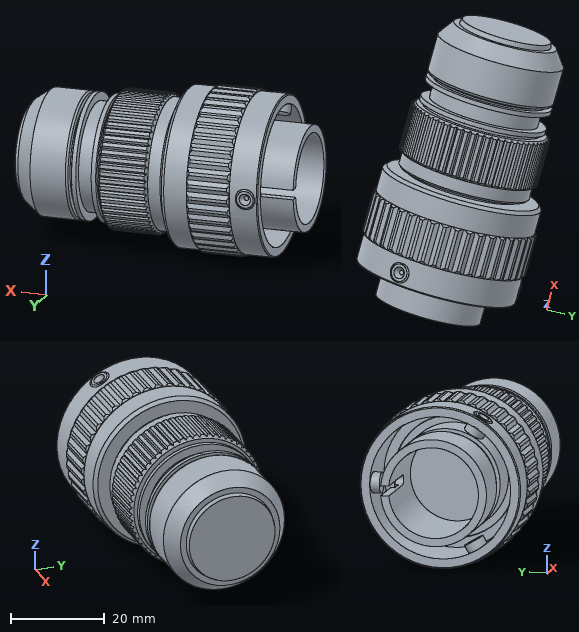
import cadquery as cq
import math


length = 63.0

plug_radius = 11.65
plug_bore_radius = 9.9
plug_groove_start = 9.45
plug_groove_end = 12.6
plug_groove_radius = 10.8
key_slot_width = 2.15
key_slot_length = 13.85

nut_start = 6.1
nut_end = 27.9
nut_radius = 17.65
nut_bore_radius = 15.5
nut_floor = 19.3
nut_recess_radius = 13.35
nut_recess_floor = 20.15
nut_front_chamfer = 0.25
nut_rear_chamfer = 0.75

nut_knurl_start = 12.4
nut_knurl_end = 22.05
nut_knurl_tip = 18.1
nut_knurl_root = 17.6
nut_knurl_crest = 0.7
nut_knurl_teeth = 42
nut_knurl_phase = 2.8
nut_knurl_chamfer_length = 0.5
nut_knurl_chamfer_depth = 0.4

pin_count = 3
pin_x = 8.9
pin_radius = 2.25
pin_tip_radius = 1.9
pin_inner_reach = 13.5
pin_outer_reach = 17.75
pin_chamfer_height = 0.2
pin_hole_radius = 1.25
pin_hole_floor_radius = 0.5
pin_hole_depth = 1.15

neck_radius = 12.6
front_flange_start = 28.55
front_flange_radius = 14.5
front_flange_chamfer = 0.45

rear_knurl_start = 31.75
rear_knurl_end = 42.85
rear_knurl_tip = 15.3
rear_knurl_root = 14.85
rear_knurl_crest = 0.8
rear_knurl_teeth = 60
rear_knurl_phase = 0.0
rear_knurl_chamfer_length = 0.55
rear_knurl_chamfer_depth = 0.75

shoulder_radius = 13.05
ring_radius = 14.0
front_ring_start = 43.6
front_ring_end = 44.6
groove_radius = 12.05
rear_ring_start = 48.1
rear_ring_end = 49.1
cap_neck_radius = 12.5
cap_neck_end = 49.45
cap_relief_radius = 12.3

cap_start = 49.9
cap_chamfer_length = 0.5
cap_chamfer_depth = 0.25
cap_cone_start = 58.35
cap_cone_end = 61.85
cap_cone_end_radius = 11.45
outlet_radius = 10.15
outlet_end_radius = 9.9


def revolve_profile(points):
    """Solid of revolution about X from (x, radius) points; closed along the axis."""
    return cq.Workplane("XY").polyline(points).close().revolve(360, (0, 0, 0), (1, 0, 0))


def cylinder(start, end, radius):
    """Cylinder on the connector axis."""
    return cq.Workplane("YZ").workplane(offset=start).circle(radius).extrude(end - start)


def knurl(start, end, tip, root, crest, teeth, phase, chamfer_length, chamfer_depth):
    """Band of straight trapezoidal teeth meeting in V grooves, chamfered at both ends.

    The phase is the angle in degrees of the first tooth, from -Y towards +Z.
    """
    pitch = 2 * math.pi / teeth
    half_crest = math.asin(crest / 2 / tip)
    outline = []
    for tooth in range(teeth):
        centre = math.radians(phase) + tooth * pitch
        for radius, angle in (
            (root, centre - pitch / 2),
            (tip, centre - half_crest),
            (tip, centre + half_crest),
        ):
            outline.append((-radius * math.cos(angle), radius * math.sin(angle)))
    band = cq.Workplane("YZ").workplane(offset=start).polyline(outline).close().extrude(end - start)
    envelope = revolve_profile([
        (start, 0),
        (start, tip - chamfer_depth),
        (start + chamfer_length, tip),
        (end - chamfer_length, tip),
        (end, tip - chamfer_depth),
        (end, 0),
    ])
    return band.intersect(envelope)


def coupling_nut():
    """Solid nut barrel with chamfered ends and a band sunk to the root of its knurl."""
    return revolve_profile([
        (nut_start, 0),
        (nut_start, nut_radius - nut_front_chamfer),
        (nut_start + nut_front_chamfer, nut_radius),
        (nut_knurl_start, nut_radius),
        (nut_knurl_start, nut_knurl_root),
        (nut_knurl_end, nut_knurl_root),
        (nut_knurl_end, nut_radius),
        (nut_end - nut_rear_chamfer, nut_radius),
        (nut_end, nut_radius - nut_rear_chamfer),
        (nut_end, 0),
    ])


def plug_shell():
    """Thin open barrel with a groove around it and a round-ended key slot on +Y."""
    shell = revolve_profile([
        (0, plug_bore_radius),
        (0, plug_radius),
        (plug_groove_start, plug_radius),
        (plug_groove_start, plug_groove_radius),
        (plug_groove_end, plug_groove_radius),
        (plug_groove_end, plug_radius),
        (nut_recess_floor, plug_radius),
        (nut_recess_floor, plug_bore_radius),
    ])
    slot = cq.Workplane("XZ").slot2D(2 * key_slot_length, key_slot_width).extrude(-plug_radius)
    return shell.cut(slot)


def backshell():
    """Stepped rear body from the back of the nut to the cable outlet."""
    return revolve_profile([
        (nut_end, 0),
        (nut_end, neck_radius),
        (front_flange_start, neck_radius),
        (front_flange_start, front_flange_radius - front_flange_chamfer),
        (front_flange_start + front_flange_chamfer, front_flange_radius),
        (rear_knurl_start, front_flange_radius),
        (rear_knurl_end, front_flange_radius),
        (rear_knurl_end, shoulder_radius),
        (front_ring_start, shoulder_radius),
        (front_ring_start, ring_radius),
        (front_ring_end, ring_radius),
        (front_ring_end, groove_radius),
        (rear_ring_start, groove_radius),
        (rear_ring_start, ring_radius),
        (rear_ring_end, ring_radius),
        (rear_ring_end, cap_neck_radius),
        (cap_neck_end, cap_neck_radius),
        (cap_neck_end, cap_relief_radius),
        (cap_start, cap_relief_radius),
        (cap_start, ring_radius - cap_chamfer_depth),
        (cap_start + cap_chamfer_length, ring_radius),
        (cap_cone_start, ring_radius),
        (cap_cone_end, cap_cone_end_radius),
        (cap_cone_end, outlet_radius),
        (length, outlet_end_radius),
        (length, 0),
    ])


def around_axis(shape):
    """Copies of a shape spaced evenly around X as one workplane."""
    copies = shape
    for index in range(1, pin_count):
        copies = copies.union(shape.rotate((0, 0, 0), (1, 0, 0), index * 360 / pin_count))
    return copies


def pin_body():
    """Bayonet pin on +Y with a tapered outer head."""
    base = cq.Workplane("XZ", origin=(pin_x, pin_inner_reach, 0)).circle(pin_radius)
    return base.extrude(pin_inner_reach - pin_outer_reach).faces(">Y").chamfer(
        pin_chamfer_height, pin_radius - pin_tip_radius
    )


def pin_hole():
    """Conical dimple with a flat floor in the head of the pin on +Y."""
    return (
        cq.Workplane("XZ", origin=(pin_x, pin_outer_reach, 0))
        .circle(pin_hole_radius)
        .workplane(offset=pin_hole_depth)
        .circle(pin_hole_floor_radius)
        .loft()
    )


nut_teeth = knurl(
    nut_knurl_start, nut_knurl_end, nut_knurl_tip, nut_knurl_root,
    nut_knurl_crest, nut_knurl_teeth, nut_knurl_phase,
    nut_knurl_chamfer_length, nut_knurl_chamfer_depth,
)
rear_teeth = knurl(
    rear_knurl_start, rear_knurl_end, rear_knurl_tip, rear_knurl_root,
    rear_knurl_crest, rear_knurl_teeth, rear_knurl_phase,
    rear_knurl_chamfer_length, rear_knurl_chamfer_depth,
)

result = (
    coupling_nut()
    .union(nut_teeth)
    .cut(cylinder(nut_start, nut_floor, nut_bore_radius))
    .cut(cylinder(nut_floor, nut_recess_floor, nut_recess_radius))
    .union(plug_shell())
    .union(backshell())
    .union(rear_teeth)
    .union(around_axis(pin_body()))
    .cut(around_axis(pin_hole()))
)